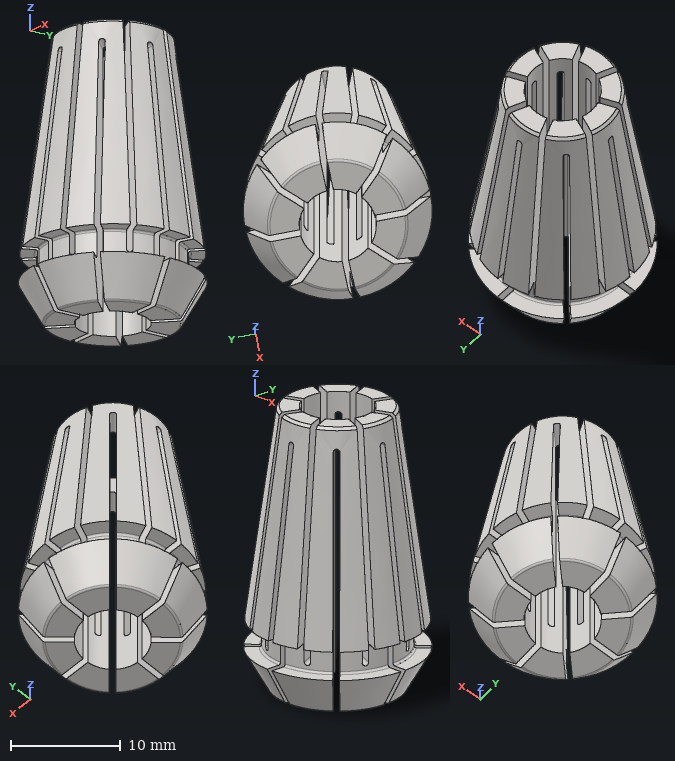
import cadquery as cq
import math

height = 27.5
bore_diameter = 7.0

flange_diameter = 17.25
flange_bottom_diameter = 12.65
flange_height = 3.95
flange_edge_fillet = 0.28

groove_diameter = 13.9
groove_top = 6.68
groove_fillet = 0.22

cone_base_diameter = 17.0
cone_half_angle = 8.0
top_chamfer_height = 0.28
top_chamfer_width = 0.28

slit_count = 8
slit_width = 0.6
lower_slit_top = 25.5
upper_slit_bottom = 4.56

slit_pitch = 360 / slit_count
cut_margin = 1.38


def make_body():
    """Collet before slitting: half section revolved about Z, lower flange edge rounded."""
    bore_radius = bore_diameter / 2
    groove_radius = groove_diameter / 2
    cone_top = height - top_chamfer_height
    taper = math.tan(math.radians(cone_half_angle))
    cone_top_radius = cone_base_diameter / 2 - (cone_top - groove_top) * taper
    section = (
        cq.Workplane("XZ")
        .moveTo(bore_radius, 0)
        .lineTo(flange_bottom_diameter / 2, 0)
        .lineTo(flange_diameter / 2, flange_height)
        .lineTo(groove_radius + groove_fillet, flange_height)
        .tangentArcPoint((groove_radius, flange_height + groove_fillet), relative=False)
        .lineTo(groove_radius, groove_top - groove_fillet)
        .tangentArcPoint((groove_radius + groove_fillet, groove_top), relative=False)
        .lineTo(cone_base_diameter / 2, groove_top)
        .lineTo(cone_top_radius, cone_top)
        .lineTo(cone_top_radius - top_chamfer_width, height)
        .lineTo(bore_radius, height)
        .close()
    )
    body = section.revolve(360, (0, 0), (0, 1))
    largest_circle = cq.selectors.RadiusNthSelector(-1)
    return body.faces("<Z").edges(largest_circle).fillet(flange_edge_fillet)


def make_slit(closed_end, open_end, angle):
    """Radial slit from the axis outward, rounded at its closed end and open at the other."""
    half_width = slit_width / 2
    toward_open = math.copysign(1, open_end - closed_end)
    arc_start = closed_end + toward_open * half_width
    return (
        cq.Workplane("YZ")
        .moveTo(-half_width, open_end)
        .lineTo(-half_width, arc_start)
        .threePointArc((0, closed_end), (half_width, arc_start))
        .lineTo(half_width, open_end)
        .close()
        .extrude(flange_diameter / 2 + cut_margin)
        .rotate((0, 0, 0), (0, 0, 1), angle)
    )


result = make_body()
for index in range(slit_count):
    lower_angle = index * slit_pitch
    upper_angle = lower_angle + slit_pitch / 2
    result = result.cut(make_slit(lower_slit_top, -cut_margin, lower_angle))
    result = result.cut(make_slit(upper_slit_bottom, height + cut_margin, upper_angle))